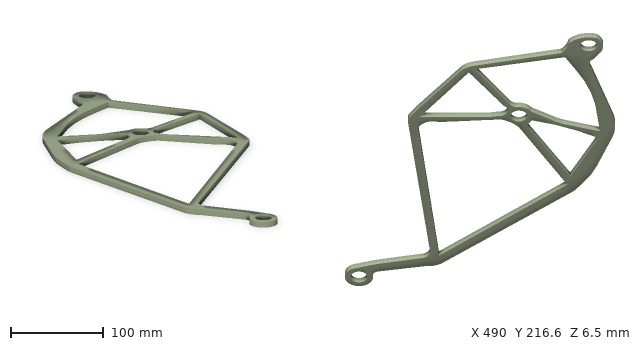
import cadquery as cq

overall_length = 490.0
thickness = 6.5
hole_diameter = 18.0
end_radius = 15.0
hub_x = 139.5
right_end_x = overall_length - 2 * end_radius
hole_centers = [(0, 0), (hub_x, 0), (right_end_x, 0)]


def solid_from(outline):
    """Close an outline and give it the plate thickness."""
    return outline.close().extrude(thickness)


def frame_blank():
    """Outer contour, clockwise from the tip of the left eye."""
    outline = (
        cq.Workplane("XY").moveTo(-end_radius, 0)
        .threePointArc((-6.5, 13.5), (7.5, 20.0))
        .spline([(16.5, 18.0)], tangents=[(1, 0), (1, 0)], includeCurrent=True)
        .lineTo(26.0, 18.0)
        .lineTo(95.0, 86.0)
        .threePointArc((101.0, 90.5), (108.5, 93.0))
        .lineTo(191.0, 98.0)
        .lineTo(205.0, 98.0)
        .threePointArc((209.5, 97.0), (213.5, 94.5))
        .lineTo(381.0, -40.5)
        .threePointArc((389.0, -43.5), (395.0, -41.5))
        .lineTo(431.0, -4.5)
        .threePointArc((438.5, 2.0), (448.0, 9.65))
        .threePointArc((right_end_x + end_radius, 0), (451.0, -12.5))
        .threePointArc((445.5, -10.5), (440.0, -13.0))
        .lineTo(405.5, -50.5)
        .threePointArc((398.0, -60.0), (388.0, -64.0))
        .lineTo(213.5, -117.5)
        .threePointArc((197.0, -118.5), (181.0, -118.5))
        .lineTo(163.5, -115.5)
        .lineTo(118.5, -105.0)
        .threePointArc((102.0, -99.0), (87.0, -87.0))
        .lineTo(32.5, -24.0)
        .threePointArc((27.0, -18.0), (20.0, -15.0))
        .lineTo(14.5, -16.5)
        .lineTo(3.0, -16.5)
        .threePointArc((-10.5, -11.5), (-end_radius, 0))
    )
    return solid_from(outline)


def left_window():
    """Opening between the left eye and the hub."""
    outline = (
        cq.Workplane("XY").moveTo(30.0, 11.5)
        .lineTo(99.5, 82.5)
        .lineTo(127.5, 21.5)
        .threePointArc((129.5, 16.0), (129.0, 10.5))
        .threePointArc((125.0, 2.5), (126.15, -7.0))
        .lineTo(126.15, -38.0)
        .lineTo(125.0, -47.5)
        .lineTo(114.0, -87.45)
        .lineTo(79.0, -59.0)
        .spline([(61.5, -40.5), (41.5, -10.5)], includeCurrent=True)
    )
    return solid_from(outline)


def top_window():
    """Triangular opening above the hub, with a rounded lower corner."""
    outline = (
        cq.Workplane("XY").moveTo(107.5, 85.0)
        .lineTo(199.0, 89.0)
        .lineTo(157.5, 25.0)
        .lineTo(151.0, 18.0)
        .threePointArc((144.5, 13.5), (134.2, 22.5))
    )
    return solid_from(outline)


def bottom_window():
    """Triangular opening below the hub."""
    outline = (
        cq.Workplane("XY").moveTo(138.0, -15.5)
        .lineTo(147.0, -15.5)
        .lineTo(151.5, -20.0)
        .lineTo(195.5, -101.5)
        .lineTo(124.5, -92.0)
        .threePointArc((127.5, -59.0), (138.0, -15.5))
    )
    return solid_from(outline)


def right_window():
    """Large opening between the hub and the right arm."""
    outline = (
        cq.Workplane("XY").moveTo(215.5, 80.5)
        .lineTo(383.0, -53.5)
        .lineTo(208.0, -106.0)
        .lineTo(155.55, -10.5)
        .threePointArc((153.5, 1.5), (155.0, 13.0))
        .lineTo(195.0, 67.5)
        .threePointArc((204.0, 79.5), (215.5, 80.5))
    )
    return solid_from(outline)


result = frame_blank()
for window in (left_window(), top_window(), bottom_window(), right_window()):
    result = result.cut(window)

holes = cq.Workplane("XY").pushPoints(hole_centers).circle(hole_diameter / 2).extrude(thickness)
result = result.cut(holes)